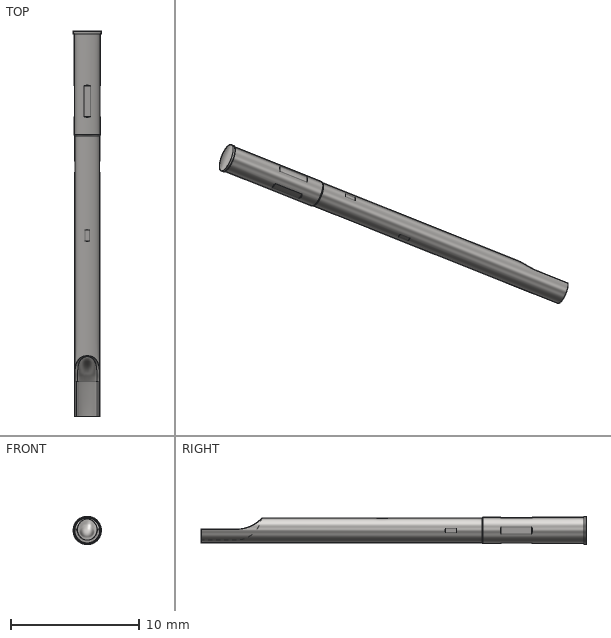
import cadquery as cq
import math

length = 30.0

flange_diameter = 2.2
flange_thickness = 0.2
sleeve_diameter = 2.06
sleeve_end = 8.15
sleeve_chamfer_length = 0.1
body_diameter = 1.95

sleeve_flat_width = 0.54
sleeve_flat_start = 4.2
sleeve_flat_length = 2.5
body_flat_width = 0.32
body_flat_length = 0.9
flat_end_angle = 30
cutter_overshoot = 0.15
side_flat_start = 10.1
top_flat_start = 15.45

bore_radius = 0.75
trough_length = 2.75
rim_height = 0.1
flare_depth = 0.2
rim_land_width = 0.12
rim_rise_length = 2.0
bend_radius = 1.2

flange_radius = flange_diameter / 2
sleeve_radius = sleeve_diameter / 2
body_radius = body_diameter / 2
trough_end = trough_length - length


def make_body():
    """Revolve the half profile of the flange, sleeve and body about Y."""
    profile = (
        cq.Workplane("XY")
        .moveTo(0, 0)
        .lineTo(flange_radius, 0)
        .lineTo(flange_radius, -flange_thickness)
        .lineTo(sleeve_radius, -flange_thickness)
        .lineTo(sleeve_radius, sleeve_chamfer_length - sleeve_end)
        .lineTo(body_radius, -sleeve_end)
        .lineTo(body_radius, -length)
        .lineTo(0, -length)
        .close()
    )
    return profile.revolve(360, (0, 0, 0), (0, 1, 0))


def flat_cutter(radius, width, start, flat_length, angle):
    """Wedge-ended block that leaves a flat of the given width on a round of the given radius.

    The flat faces +Z at angle 0 and is turned about the pin axis by angle.
    """
    flat_height = math.sqrt(radius**2 - (width / 2) ** 2)
    end_run = (radius - flat_height) / math.tan(math.radians(flat_end_angle))
    overshoot_run = cutter_overshoot / math.tan(math.radians(flat_end_angle))
    head_end = -start - end_run
    tip_end = -start - flat_length + end_run
    return (
        cq.Workplane("YZ")
        .moveTo(tip_end, flat_height)
        .lineTo(head_end, flat_height)
        .lineTo(head_end + overshoot_run, flat_height + cutter_overshoot)
        .lineTo(tip_end - overshoot_run, flat_height + cutter_overshoot)
        .close()
        .extrude(radius, both=True)
        .rotate((0, 0, 0), (0, 1, 0), angle)
    )


def rim_cutter():
    """Material above the rim: level at the tip, then rising along a tangent arc."""
    rise = body_radius - rim_height
    arc_radius = (rim_rise_length**2 + rise**2) / (2 * rise)
    half_angle = math.asin(rim_rise_length / arc_radius) / 2
    arc_middle = (
        trough_end + arc_radius * math.sin(half_angle),
        rim_height + arc_radius * (1 - math.cos(half_angle)),
    )
    return (
        cq.Workplane("YZ")
        .moveTo(-length, rim_height)
        .lineTo(trough_end, rim_height)
        .threePointArc(arc_middle, (trough_end + rim_rise_length, body_radius))
        .lineTo(-length, body_radius)
        .close()
        .extrude(body_radius, both=True)
    )


def bore_cutter():
    """Round bore along the trough that bends upward and out through the top."""
    straight = cq.Workplane("XZ", origin=(0, trough_end, 0)).circle(bore_radius).extrude(trough_length)
    bend = (
        cq.Workplane("XZ", origin=(0, trough_end, 0))
        .circle(bore_radius)
        .revolve(90, (-1, bend_radius, 0), (1, bend_radius, 0))
    )
    return straight.union(bend)


def flare_cutter():
    """Walls of the straight trough leaning outward from the bore to the rim land."""
    land_inner = body_radius - rim_land_width
    flare_start = math.sqrt(bore_radius**2 - flare_depth**2)
    return (
        cq.Workplane("XZ", origin=(0, trough_end, 0))
        .moveTo(-flare_start, -flare_depth)
        .lineTo(flare_start, -flare_depth)
        .lineTo(land_inner, rim_height)
        .lineTo(-land_inner, rim_height)
        .close()
        .extrude(trough_length)
    )


result = make_body()

for angle in (0, 90, 180, 270):
    result = result.cut(
        flat_cutter(sleeve_radius, sleeve_flat_width, sleeve_flat_start, sleeve_flat_length, angle)
    )

for start, angles in ((side_flat_start, (90, 270)), (top_flat_start, (0, 180))):
    for angle in angles:
        result = result.cut(flat_cutter(body_radius, body_flat_width, start, body_flat_length, angle))

result = result.cut(rim_cutter()).cut(bore_cutter()).cut(flare_cutter())